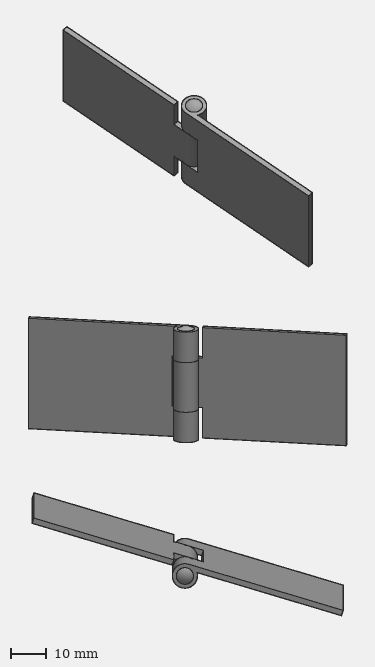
import cadquery as cq
import math

total_length = 90.0
leaf_height = 32.0
leaf_thickness = 1.6
knuckle_diameter = 7.0
pin_diameter = 4.8
pin_total_height = 33.6
middle_knuckle_height = 14.4
notch_clearance = 0.8

half_length = total_length / 2
knuckle_radius = knuckle_diameter / 2
pin_radius = pin_diameter / 2
notch_reach = knuckle_radius + notch_clearance
outer_knuckle_height = (leaf_height - middle_knuckle_height) / 2
outer_knuckle_offset = (middle_knuckle_height + outer_knuckle_height) / 2


def knuckle_section(side, height, z_center):
    """Bored knuckle and its tangent strip of plate; side is +1 for +X, -1 for -X."""
    barrel = cq.Workplane("XY").circle(knuckle_radius).extrude(height / 2, both=True)
    strip = (
        cq.Workplane("XY")
        .box(notch_reach, leaf_thickness, height)
        .translate((side * notch_reach / 2, leaf_thickness / 2 - knuckle_radius, 0))
    )
    bore = cq.Workplane("XY").circle(pin_radius).extrude(height / 2, both=True)
    return barrel.union(strip).cut(bore).translate((0, 0, z_center))


def leaf(side, knuckles):
    """Flat plate joined to its knuckles, given as (height, z_center) pairs."""
    plate_length = half_length - notch_reach
    body = (
        cq.Workplane("XY")
        .box(plate_length, leaf_thickness, leaf_height)
        .translate((side * (notch_reach + plate_length / 2), leaf_thickness / 2 - knuckle_radius, 0))
    )
    for height, z_center in knuckles:
        body = body.union(knuckle_section(side, height, z_center))
    return body


def hinge_pin():
    """Round pin with a shallow spherical dome at each end."""
    dome_height = (pin_total_height - leaf_height) / 2
    dome_radius = (pin_radius**2 + dome_height**2) / (2 * dome_height)
    dome_center = pin_total_height / 2 - dome_radius
    half_shank = leaf_height / 2
    half_pin = pin_total_height / 2
    arc_z = half_shank + dome_height / 2
    arc_x = math.sqrt(dome_radius**2 - (arc_z - dome_center) ** 2)
    profile = (
        cq.Workplane("XZ")
        .moveTo(0, -half_pin)
        .threePointArc((arc_x, -arc_z), (pin_radius, -half_shank))
        .lineTo(pin_radius, half_shank)
        .threePointArc((arc_x, arc_z), (0, half_pin))
        .close()
    )
    return profile.revolve(360, (0, 0, 0), (0, 1, 0))


middle_leaf = leaf(-1, [(middle_knuckle_height, 0)])
outer_leaf = leaf(1, [(outer_knuckle_height, end * outer_knuckle_offset) for end in (1, -1)])
pin = hinge_pin()

result = cq.Compound.makeCompound([middle_leaf.val(), outer_leaf.val(), pin.val()])